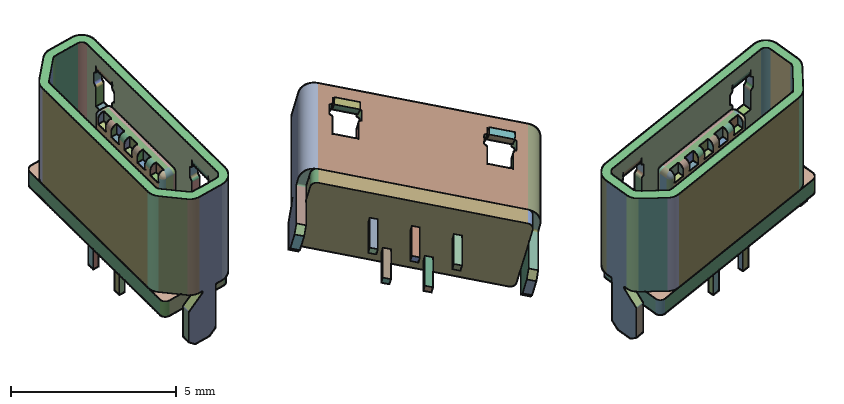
import cadquery as cq
import math


shell_width = 7.5
shell_depth = 2.45
shell_height = 4.305
wall = 0.3
corner_radius = 0.495
front_chamfer = 0.915

base_height = 0.7
base_width = shell_width - 2 * wall
base_corner_radius = 0.2
shell_top = base_height + shell_height

leg_length = 1.5
leg_rear = -0.72
leg_front = -1.74
leg_tip_chamfer = 0.24
leg_shoulder = 0.59
leg_fillet = 0.05
leg_shoulder_root = leg_front + leg_shoulder

latch_spacing = 4.8
latch_width = 0.8
latch_bend_radius = wall
latch_bend_angle = math.radians(80)
window_top = shell_top - 0.6
window_upper_step = shell_top - 0.94
window_lower_step = shell_top - 1.485
window_bottom = shell_top - 2.4
window_step = 0.105
window_step_height = 0.18

tongue_width = 3.39
tongue_rear = -0.615
tongue_thickness = 0.585
tongue_top = shell_top - 1.0
tongue_top_fillet = 0.195
tongue_side_fillet = 0.15
tongue_front = tongue_rear - tongue_thickness

contact_count = 5
contact_pitch = 0.65
slot_width = 0.375
slot_depth = 0.21
slot_height = 0.45
pin_width = 0.255
pin_thickness = 0.2
pin_length = 1.5
pin_rear_row = -1.01
pin_front_row = -2.02
contact_positions = [(i - (contact_count - 1) / 2) * contact_pitch for i in range(contact_count)]


def rounded_prism(inset):
    """Shell outline moved inward by inset: a rectangle with chamfered front corners, all rounded."""
    half = shell_width / 2
    points = [
        (-half, 0),
        (half, 0),
        (half, front_chamfer - shell_depth),
        (half - front_chamfer, -shell_depth),
        (front_chamfer - half, -shell_depth),
        (-half, front_chamfer - shell_depth),
    ]
    outline = cq.Workplane("XY", origin=(0, 0, base_height)).polyline(points).close()
    if inset > 0:
        outline = outline.offset2D(-inset, "intersection")
    return outline.extrude(shell_height).edges("|Z").fillet(corner_radius - inset)


def make_leg(outer_x):
    """Flat leg, topped by the strip of side wall that it hangs from, with filleted joints."""
    leg_tip = -leg_length
    strip_rear = leg_rear + 2 * leg_fillet
    strip_front = leg_shoulder_root - 3 * leg_fillet
    points = [
        (strip_rear, base_height + wall),
        (strip_rear, base_height),
        (leg_rear, base_height),
        (leg_rear, leg_tip + leg_tip_chamfer),
        (leg_rear - leg_tip_chamfer, leg_tip),
        (leg_front + leg_tip_chamfer, leg_tip),
        (leg_front, leg_tip + leg_tip_chamfer),
        (leg_front, base_height - leg_shoulder),
        (leg_shoulder_root, base_height),
        (strip_front, base_height),
        (strip_front, base_height + wall),
    ]
    leg = cq.Workplane("YZ", origin=(outer_x, 0, 0)).polyline(points).close().extrude(wall)
    filleted_corners = [
        (leg_rear, base_height),
        (leg_shoulder_root, base_height),
        (leg_front, base_height - leg_shoulder),
    ]
    for y, z in filleted_corners:
        corner = cq.selectors.NearestToPointSelector((outer_x + wall / 2, y, z))
        leg = leg.edges("|X").edges(corner).fillet(leg_fillet)
    return leg


def box_between(width, y_range, z_range):
    """Box centred on X = 0 that spans the given Y and Z ranges."""
    (y_low, y_high), (z_low, z_high) = y_range, z_range
    return (
        cq.Workplane("XY", origin=(0, (y_low + y_high) / 2, z_low))
        .rect(width, y_high - y_low)
        .extrude(z_high - z_low)
    )


def make_window():
    """Opening through the rear wall: a slot that widens around the latch tip through S-shaped steps."""
    narrow = latch_width / 2
    middle = narrow + window_step / 2
    wide = narrow + window_step
    rise = window_step_height / 2
    half_outline = (
        cq.Workplane("XZ")
        .moveTo(0, window_top)
        .lineTo(narrow, window_top)
        .lineTo(narrow, window_upper_step + rise)
        .tangentArcPoint((middle, window_upper_step), relative=False)
        .tangentArcPoint((wide, window_upper_step - rise), relative=False)
        .lineTo(wide, window_lower_step + rise)
        .tangentArcPoint((middle, window_lower_step), relative=False)
        .tangentArcPoint((narrow, window_lower_step - rise), relative=False)
        .lineTo(narrow, window_bottom)
        .lineTo(0, window_bottom)
    )
    return half_outline.mirrorY().extrude(wall)


def make_latch():
    """Strip of the rear wall bent outward along an arc from the top of its window."""
    bend_y, bend_z = latch_bend_radius, window_top

    def on_bend(radius, angle):
        return bend_y - radius * math.cos(angle), bend_z - radius * math.sin(angle)

    outer = latch_bend_radius
    inner = latch_bend_radius + wall
    middle = latch_bend_angle / 2
    return (
        cq.Workplane("YZ")
        .moveTo(*on_bend(outer, 0))
        .threePointArc(on_bend(outer, middle), on_bend(outer, latch_bend_angle))
        .lineTo(*on_bend(inner, latch_bend_angle))
        .threePointArc(on_bend(inner, middle), on_bend(inner, 0))
        .close()
        .extrude(latch_width / 2, both=True)
    )


def make_shell():
    """Metal shell with its legs and latches."""
    shell = rounded_prism(0).cut(rounded_prism(wall))
    for outer_x in (-shell_width / 2, shell_width / 2 - wall):
        shell = shell.union(make_leg(outer_x))
    for x in (-latch_spacing / 2, latch_spacing / 2):
        shell = shell.cut(make_window().translate((x, 0, 0)))
        shell = shell.union(make_latch().translate((x, 0, 0)))
    return shell


def make_tongue():
    """Tongue with rounded edges and a slot in its front face for each contact."""
    tongue = box_between(tongue_width, (tongue_front, tongue_rear), (base_height, tongue_top))
    tongue = tongue.edges("|Z").fillet(tongue_side_fillet).faces(">Z").edges().fillet(tongue_top_fillet)
    slot = box_between(
        slot_width, (tongue_front, tongue_front + slot_depth), (tongue_top - slot_height, tongue_top)
    )
    for x in contact_positions:
        tongue = tongue.cut(slot.translate((x, 0, 0)))
    return tongue


def make_pin(x, y):
    """Square-ended contact pin below the base."""
    return cq.Workplane("XY", origin=(x, y, 0)).rect(pin_width, pin_thickness).extrude(-pin_length)


def make_housing():
    """Moulded base with the contact tongue above and the contact pins below."""
    housing = box_between(base_width, (-shell_depth, 0), (0, base_height))
    housing = housing.edges("|Z").fillet(base_corner_radius).union(make_tongue())
    for index, x in enumerate(contact_positions):
        row = pin_rear_row if index % 2 == 0 else pin_front_row
        housing = housing.union(make_pin(x, row))
    return housing


shell = make_shell()
housing = make_housing()
result = cq.Compound.makeCompound([shell.solids().val(), housing.solids().val()])